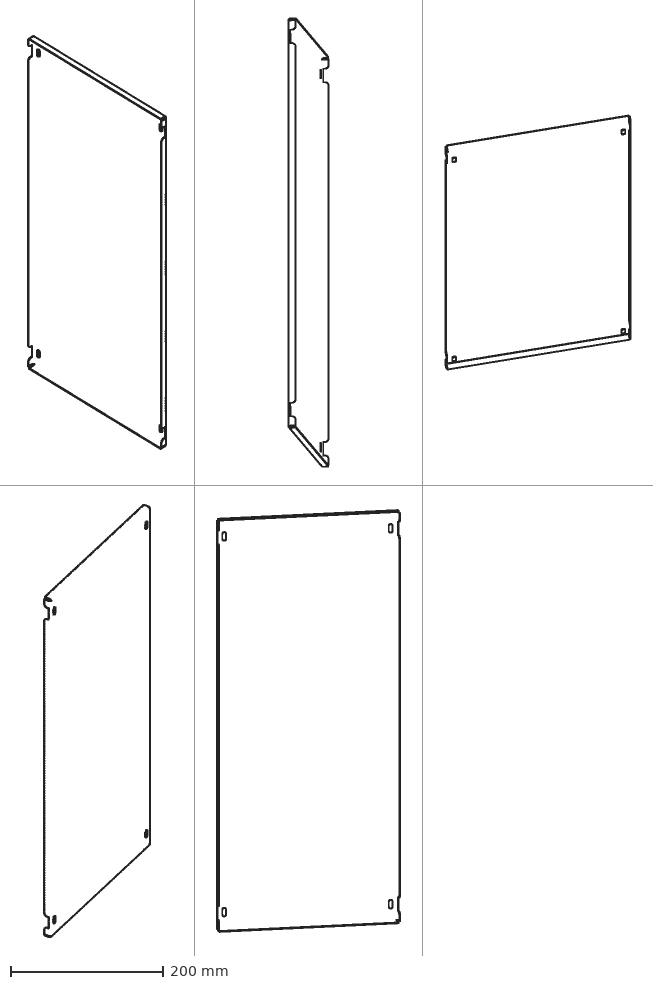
import cadquery as cq

width = 247.0
depth = 10.0
height = 550.0

sheet = 1.5
bend_inner = 1.5
bend_outer = bend_inner + sheet

top_flange_setback = 2.0
side_flange_setback = bend_outer

notch_start = 15.5
notch_end = 33.5
notch_corner_radius = 5.0

slot_width = 5.0
slot_length = 11.5
slot_edge_x = 10.5
slot_edge_z = 24.5

back = depth / 2
front = -depth / 2
half_width = width / 2
half_height = height / 2
bend_line = back - bend_outer


def flange_profile(plane, half_span):
    """Quarter bend plus flat flange, in (outward, Y) coordinates of the given plane."""
    bend_start = half_span - bend_outer
    inner_face = half_span - sheet
    return (
        cq.Workplane(plane)
        .moveTo(bend_start, back)
        .radiusArc((half_span, bend_line), bend_outer)
        .lineTo(half_span, front)
        .lineTo(inner_face, front)
        .lineTo(inner_face, bend_line)
        .radiusArc((bend_start, back - sheet), -bend_inner)
        .close()
    )


def make_plate():
    """Flat back of the panel, reaching out to the start of the bends."""
    return cq.Workplane("XY").box(
        width - 2 * bend_outer, sheet, height - 2 * bend_outer
    ).translate((0, back - sheet / 2, 0))


def make_side_flange():
    """Flange along the +X side, before it is notched."""
    length = height - 2 * side_flange_setback
    return flange_profile("XY", half_width).extrude(length / 2, both=True)


def make_top_flange():
    """Flange on the +Z end."""
    length = width - 2 * top_flange_setback
    end_plane = cq.Plane(origin=(0, 0, 0), xDir=(0, 0, 1), normal=(-1, 0, 0))
    return flange_profile(end_plane, half_height).extrude(length / 2, both=True)


def make_notch():
    """Cutter for the notch near the top of the +X flange, flaring at the free edge."""
    top = half_height - notch_start
    bottom = half_height - notch_end
    radius = notch_corner_radius
    profile = (
        cq.Workplane("YZ")
        .moveTo(bend_line, bottom)
        .lineTo(bend_line, top)
        .lineTo(front + radius, top)
        .radiusArc((front, top + radius), radius)
        .lineTo(front, bottom - radius)
        .radiusArc((front + radius, bottom), radius)
        .close()
    )
    return profile.extrude(bend_outer).translate((half_width - bend_outer, 0, 0))


def make_slots():
    """Cutters for the four upright mounting slots."""
    return (
        cq.Workplane("XZ", origin=(0, back, 0))
        .rect(width - 2 * slot_edge_x, height - 2 * slot_edge_z, forConstruction=True)
        .vertices()
        .slot2D(slot_length, slot_width, 90)
        .extrude(sheet)
    )


notch = make_notch()
side_flange = make_side_flange().cut(notch).cut(notch.mirror("XY"))
top_flange = make_top_flange()

result = (
    make_plate()
    .union(side_flange)
    .union(side_flange.mirror("YZ"))
    .union(top_flange)
    .union(top_flange.mirror("XY"))
    .cut(make_slots())
)